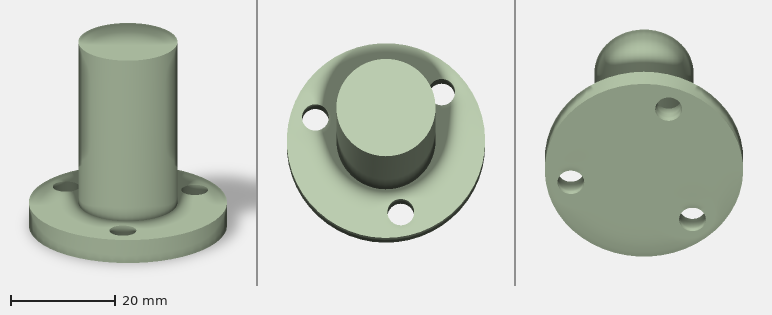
import cadquery as cq

flange_diameter = 38.1
flange_thickness = 4.75

shaft_diameter = flange_diameter / 2
total_height = 38.1

hole_count = 3
hole_diameter = 5.15
hole_circle_radius = (flange_diameter + shaft_diameter) / 4
first_hole_angle = 90.0

flange = cq.Workplane("XY").circle(flange_diameter / 2).extrude(flange_thickness)
shaft = cq.Workplane("XY").circle(shaft_diameter / 2).extrude(total_height)
mounting_holes = (
    cq.Workplane("XY")
    .polarArray(hole_circle_radius, first_hole_angle, 360, hole_count)
    .circle(hole_diameter / 2)
    .extrude(flange_thickness)
)

result = flange.union(shaft).cut(mounting_holes)